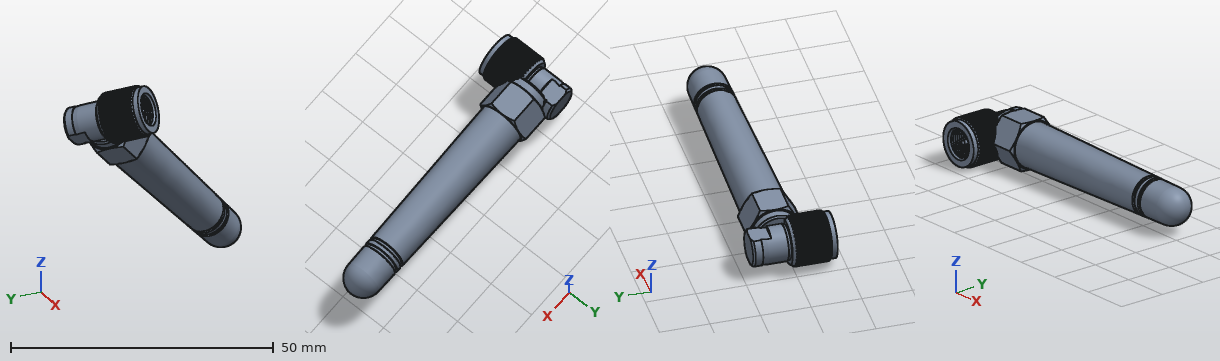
import cadquery as cq
import math


WHIP_AXIS_Z = 0.4
COLLAR_RADIUS = 4.6
COLLAR_START_X = 1.6
COLLAR_CHAMFER = 0.35
HEX_START_X = 3.6
HEX_END_X = 10.25
HEX_ACROSS_FLATS = 9.75
HEX_CHAMFER_ANGLE = 30

ELBOW_RADIUS = 3.7
ELBOW_END_Y = 6.2
ELBOW_END_CHAMFER = 0.4
WAIST_DEPTH = 0.1
WAIST_STEP_Y = 4.3
WAIST_END_Y = 3.2
NECK_RADIUS = 3.5
NECK_TOP_Y = -0.8
FLAT_HALF_HEIGHT = 3.0
FLAT_START_Y = 2.3

NUT_RADIUS = 4.95
NUT_TOP_Y = -1.3
NUT_TOP_RADIUS = 4.4
NUT_TOP_CHAMFER = 0.8
KNURL_END_Y = -8.7
RIM_RADIUS = 4.6
NUT_END_Y = -10.2
KNURL_COUNT = 42
KNURL_DEPTH = 0.1
KNURL_FLOOR_WIDTH = 0.2
KNURL_MOUTH_WIDTH = 0.5

THREAD_MINOR_RADIUS = 2.75
BORE_MOUTH_RADIUS = 3.2
THREAD_DEPTH = 0.25
THREAD_PITCH = 0.51
THREAD_TURNS = 10
INNER_BORE_RADIUS = 2.15
INNER_BORE_DEPTH = 1.2
PIN_RADIUS = 0.5
PIN_TIP_RADIUS = 0.2
PIN_TIP_LENGTH = 0.5
PIN_SETBACK = 0.7

WHIP_BASE_RADIUS = 4.65
WHIP_TIP_RADIUS = 3.85
WHIP_END_X = 55.25
DOME_START_X = WHIP_END_X - WHIP_TIP_RADIUS
RING_GROOVE_RADIUS = 3.55
RING_GROOVE_WIDTH = 0.7
RING_GROOVE_STARTS = (44.4, 46.05)


def turned_on_y(points):
    """Revolve a closed outline of (radius, y) points about the Y axis."""
    return cq.Workplane("XY").polyline(points).close().revolve(360, (0, 0, 0), (0, 1, 0))


def turned_on_whip_axis(outline):
    """Revolve a closed outline of (x, radius) in the XY plane about the whip axis."""
    return outline.close().revolve(360, (0, 0, 0), (1, 0, 0)).translate((0, 0, WHIP_AXIS_Z))


def coupling_nut():
    """Turned nut with straight trapezoidal knurl grooves, one of them at the top centre."""
    chamfer_end_y = KNURL_END_Y - (NUT_RADIUS - RIM_RADIUS)
    nut = turned_on_y([
        (0, NUT_END_Y),
        (RIM_RADIUS, NUT_END_Y),
        (RIM_RADIUS, chamfer_end_y),
        (NUT_RADIUS, KNURL_END_Y),
        (NUT_RADIUS, NUT_TOP_Y - NUT_TOP_CHAMFER),
        (NUT_TOP_RADIUS, NUT_TOP_Y),
        (0, NUT_TOP_Y),
    ])
    floor_half = KNURL_FLOOR_WIDTH / 2
    outer_half = KNURL_MOUTH_WIDTH - floor_half
    cutter = (
        cq.Workplane("XZ", origin=(0, NUT_TOP_Y, 0))
        .polyline([
            (-floor_half, NUT_RADIUS - KNURL_DEPTH),
            (floor_half, NUT_RADIUS - KNURL_DEPTH),
            (outer_half, NUT_RADIUS + KNURL_DEPTH),
            (-outer_half, NUT_RADIUS + KNURL_DEPTH),
        ])
        .close()
        .extrude(NUT_TOP_Y - chamfer_end_y)
    )
    cutters = [
        cutter.rotate((0, 0, 0), (0, 1, 0), i * 360 / KNURL_COUNT).val()
        for i in range(KNURL_COUNT)
    ]
    return nut.cut(cq.Compound.makeCompound(cutters))


def elbow():
    waist_radius = ELBOW_RADIUS - WAIST_DEPTH
    body = turned_on_y([
        (0, NUT_TOP_Y),
        (NECK_RADIUS, NUT_TOP_Y),
        (NECK_RADIUS, NECK_TOP_Y),
        (ELBOW_RADIUS, NECK_TOP_Y),
        (ELBOW_RADIUS, WAIST_END_Y),
        (waist_radius, WAIST_STEP_Y),
        (ELBOW_RADIUS, WAIST_STEP_Y),
        (ELBOW_RADIUS, ELBOW_END_Y - ELBOW_END_CHAMFER),
        (ELBOW_RADIUS - ELBOW_END_CHAMFER, ELBOW_END_Y),
        (0, ELBOW_END_Y),
    ])
    flat_length = ELBOW_END_Y - FLAT_START_Y
    flat_cutter = cq.Workplane("XY").box(
        2 * ELBOW_RADIUS, flat_length, ELBOW_RADIUS, centered=(True, False, False)
    ).translate((0, FLAT_START_Y, FLAT_HALF_HEIGHT))
    return body.cut(flat_cutter).cut(flat_cutter.mirror("XY"))


def collar():
    return turned_on_whip_axis(
        cq.Workplane("XY")
        .moveTo(COLLAR_START_X, 0)
        .lineTo(COLLAR_START_X, COLLAR_RADIUS - COLLAR_CHAMFER)
        .lineTo(COLLAR_START_X + COLLAR_CHAMFER, COLLAR_RADIUS)
        .lineTo(HEX_START_X, COLLAR_RADIUS)
        .lineTo(HEX_START_X, 0)
    )


def hexagon():
    """Hexagon with corners toward +Y and -Y and conical chamfers on both ends."""
    across_corners = HEX_ACROSS_FLATS / math.cos(math.pi / 6)
    prism = (
        cq.Workplane("YZ", origin=(HEX_START_X, 0, WHIP_AXIS_Z))
        .polygon(6, across_corners)
        .extrude(HEX_END_X - HEX_START_X)
    )
    face_radius = HEX_ACROSS_FLATS / 2
    corner_radius = across_corners / 2
    chamfer_length = (corner_radius - face_radius) * math.tan(math.radians(HEX_CHAMFER_ANGLE))
    envelope = turned_on_whip_axis(
        cq.Workplane("XY")
        .moveTo(HEX_START_X, 0)
        .lineTo(HEX_START_X, face_radius)
        .lineTo(HEX_START_X + chamfer_length, corner_radius)
        .lineTo(HEX_END_X - chamfer_length, corner_radius)
        .lineTo(HEX_END_X, face_radius)
        .lineTo(HEX_END_X, 0)
    )
    return prism.intersect(envelope)


def threaded_bore():
    """Void in the nut: V-shaped thread rings, then a smaller bore, around the centre pin."""
    points = [(0, NUT_END_Y), (BORE_MOUTH_RADIUS, NUT_END_Y)]
    y = NUT_END_Y + BORE_MOUTH_RADIUS - THREAD_MINOR_RADIUS
    points.append((THREAD_MINOR_RADIUS, y))
    for _ in range(THREAD_TURNS):
        points.append((THREAD_MINOR_RADIUS + THREAD_DEPTH, y + THREAD_PITCH / 2))
        y += THREAD_PITCH
        points.append((THREAD_MINOR_RADIUS, y))
    floor_y = y + INNER_BORE_DEPTH
    tip_y = NUT_END_Y + PIN_SETBACK
    points += [
        (INNER_BORE_RADIUS, y),
        (INNER_BORE_RADIUS, floor_y),
        (PIN_RADIUS, floor_y),
        (PIN_RADIUS, tip_y + PIN_TIP_LENGTH),
        (PIN_TIP_RADIUS, tip_y),
        (0, tip_y),
    ]
    return turned_on_y(points)


def make_connector():
    return coupling_nut().union(elbow()).union(collar()).union(hexagon()).cut(threaded_bore())


def whip_radius(x):
    """Outer radius of the straight taper at x."""
    taper = (WHIP_BASE_RADIUS - WHIP_TIP_RADIUS) / (DOME_START_X - HEX_END_X)
    return WHIP_BASE_RADIUS - taper * (x - HEX_END_X)


def make_whip():
    outline = cq.Workplane("XY").moveTo(HEX_END_X, 0).lineTo(HEX_END_X, WHIP_BASE_RADIUS)
    for start in RING_GROOVE_STARTS:
        end = start + RING_GROOVE_WIDTH
        outline = (
            outline.lineTo(start, whip_radius(start))
            .lineTo(start, RING_GROOVE_RADIUS)
            .lineTo(end, RING_GROOVE_RADIUS)
            .lineTo(end, whip_radius(end))
        )
    half_chord = WHIP_TIP_RADIUS * math.sqrt(0.5)
    outline = outline.lineTo(DOME_START_X, WHIP_TIP_RADIUS).threePointArc(
        (DOME_START_X + half_chord, half_chord), (WHIP_END_X, 0)
    )
    return turned_on_whip_axis(outline)


connector = make_connector()
whip = make_whip()

result = cq.Compound.makeCompound([connector.val(), whip.val()])